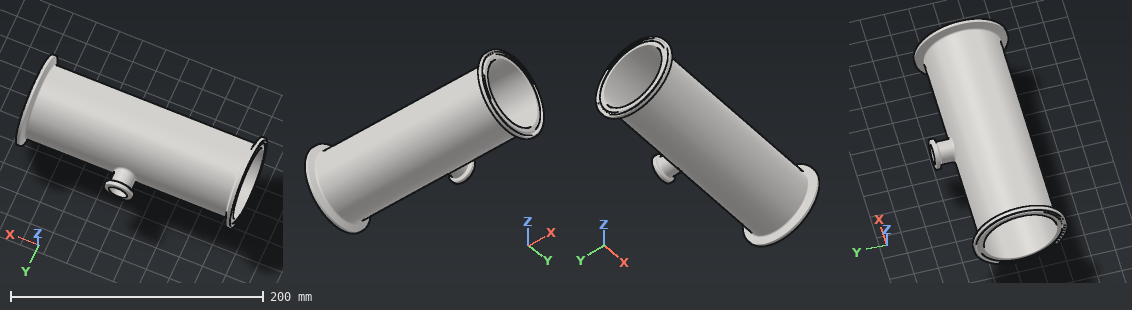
import cadquery as cq
import math

pipe_length = 184.2
pipe_diameter = 63.5
pipe_bore = 60.2
pipe_flange_diameter = 77.3

branch_reach = 47.7
branch_diameter = 19.0
branch_bore = 15.8
branch_flange_diameter = 25.0
branch_root_fillet = 1.8

pipe_rim_thickness = 3.3
branch_rim_thickness = 3.9
clamp_angle = 17.0
pipe_rim_fillet = 0.46
branch_rim_fillet = 0.7
pipe_neck_fillet = 1.3
branch_neck_fillet = 0.7

groove_middle_radius = 35.4
groove_width = 2.5
groove_depth = 1.1
groove_lip_fillet = 0.5

bore_mouth_fillet = 0.4

selection_margin = 0.02


def edges_near_plane(solid, axis_position, max_radius):
    """Edges lying in the plane X = axis_position, out to max_radius from the X axis."""
    reach = max_radius + selection_margin
    slab = cq.selectors.BoxSelector(
        (axis_position - selection_margin, -reach, -reach),
        (axis_position + selection_margin, reach, reach),
        boundingbox=True,
    )
    return solid.edges(slab)


def flanged_rod(length, diameter, flange_diameter, rim_thickness, rim_fillet, neck_fillet):
    """Solid rod along +X from the origin, with a clamp flange whose face is at X = 0."""
    radius = diameter / 2
    rim_radius = flange_diameter / 2
    neck = rim_thickness + (rim_radius - radius) * math.tan(math.radians(clamp_angle))
    outline = [
        (0, 0),
        (0, rim_radius),
        (rim_thickness, rim_radius),
        (neck, radius),
        (length, radius),
        (length, 0),
    ]
    rod = cq.Workplane("XY").polyline(outline).close().revolve(360, (0, 0, 0), (1, 0, 0))
    rod = edges_near_plane(rod, neck, radius).fillet(neck_fillet)
    rod = edges_near_plane(rod, rim_thickness, rim_radius).fillet(rim_fillet)
    return edges_near_plane(rod, 0, rim_radius).fillet(rim_fillet)


def gasket_groove():
    """Ring that cuts the gasket groove into a flange face at X = 0."""
    return (
        cq.Workplane("XY")
        .moveTo(0, groove_middle_radius - groove_width / 2)
        .threePointArc((groove_depth, groove_middle_radius), (0, groove_middle_radius + groove_width / 2))
        .close()
        .revolve(360, (0, 0, 0), (1, 0, 0))
    )


half_pipe = flanged_rod(
    pipe_length / 2,
    pipe_diameter,
    pipe_flange_diameter,
    pipe_rim_thickness,
    pipe_rim_fillet,
    pipe_neck_fillet,
).cut(gasket_groove())
half_pipe = edges_near_plane(half_pipe, 0, groove_middle_radius + groove_width / 2).fillet(groove_lip_fillet)
half_pipe = half_pipe.translate((-pipe_length / 2, 0, 0))
pipe = half_pipe.union(half_pipe.mirror("YZ")).clean()

branch = (
    flanged_rod(
        branch_reach,
        branch_diameter,
        branch_flange_diameter,
        branch_rim_thickness,
        branch_rim_fillet,
        branch_neck_fillet,
    )
    .rotate((0, 0, 0), (0, 0, 1), -90)
    .translate((0, branch_reach, 0))
)

body = pipe.union(branch)
root_half_width = branch_diameter / 2 + selection_margin
root_low = math.sqrt((pipe_diameter / 2) ** 2 - (branch_diameter / 2) ** 2) - selection_margin
root_high = pipe_diameter / 2 + selection_margin
root_box = cq.selectors.BoxSelector(
    (-root_half_width, root_low, -root_half_width),
    (root_half_width, root_high, root_half_width),
    boundingbox=True,
)
body = body.edges(root_box).fillet(branch_root_fillet)

run_bore = cq.Workplane("YZ").circle(pipe_bore / 2).extrude(pipe_length / 2, both=True)
side_bore = cq.Workplane("XZ").circle(branch_bore / 2).extrude(-branch_reach)
result = body.cut(run_bore).cut(side_bore)

for end in (-pipe_length / 2, pipe_length / 2):
    result = edges_near_plane(result, end, pipe_bore / 2).fillet(bore_mouth_fillet)